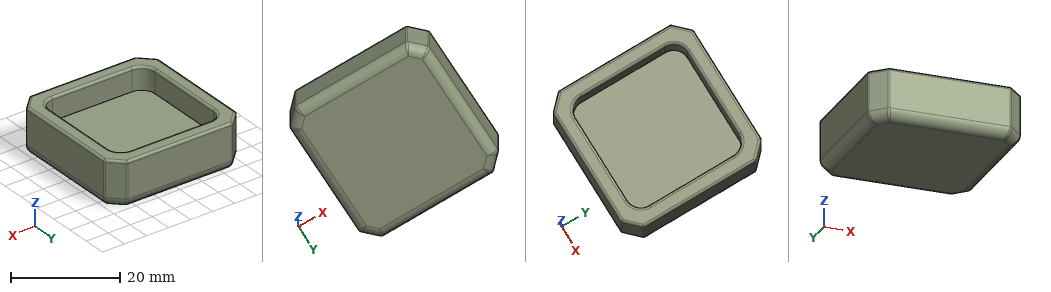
import cadquery as cq

side = 30.0
height = side / 3
corner_cut = 3.0
edge_radius = 0.5
bottom_radius = 2.0

pocket_side = 24.0
pocket_depth = height / 2
pocket_corner_radius = 3.0


def make_block():
    """Square block with cut corners and rounded outer edges."""
    block = cq.Workplane("XY").box(side, side, height, centered=(True, True, False))
    block = block.edges("|Z").chamfer(corner_cut)
    block = block.edges("|Z").fillet(edge_radius)
    block = block.faces("<Z").edges().fillet(bottom_radius)
    return block.faces(">Z").edges().fillet(edge_radius)


def make_pocket():
    """Straight-walled pocket volume with rounded corners."""
    floor_z = height - pocket_depth
    return (
        cq.Workplane("XY", origin=(0, 0, floor_z))
        .rect(pocket_side, pocket_side)
        .extrude(pocket_depth)
        .edges("|Z")
        .fillet(pocket_corner_radius)
    )


def round_pocket_rim(part):
    """Round the edge where the pocket walls meet the top face."""
    reach = pocket_side / 2 + edge_radius
    rim_box = cq.selectors.BoxSelector(
        (-reach, -reach, height - edge_radius),
        (reach, reach, height + edge_radius),
        boundingbox=True,
    )
    return part.edges(rim_box).fillet(edge_radius)


result = round_pocket_rim(make_block().cut(make_pocket()))